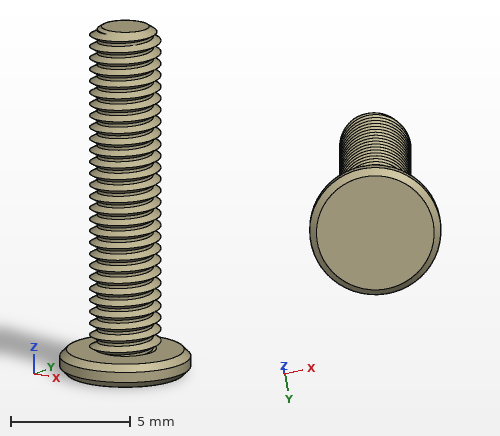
import cadquery as cq
import math

total_height = 15.0
head_diameter = 5.5
head_height = 1.0
head_chamfer = 0.28
thread_diameter = 3.0
root_diameter = 2.35
thread_turns = 28
flank_half_angle = 30.0
crest_height = 0.33
tip_radius = 1.0
tip_height = 0.33
overrun_turns = 2
clearance = 0.05

shank_length = total_height - head_height
pitch = shank_length / thread_turns
crest_radius = thread_diameter / 2
root_radius = root_diameter / 2


def make_head():
    """Disc head, chamfered on both rims."""
    disc = cq.Workplane("XY").circle(head_diameter / 2).extrude(head_height)
    return disc.faces("<Z or >Z").edges().chamfer(head_chamfer)


def make_shank_blank(radius):
    """Plain cylinder standing on the head."""
    return cq.Workplane("XY").workplane(offset=head_height).circle(radius).extrude(shank_length)


def make_ridge():
    """Right-handed helical V ridge that overruns both ends of the shank."""
    inner_radius = root_radius - clearance
    half_base = (crest_radius - inner_radius) * math.tan(math.radians(flank_half_angle))
    start_z = head_height + crest_height - overrun_turns * pitch
    ridge_length = shank_length + 2 * overrun_turns * pitch
    helix = cq.Wire.makeHelix(pitch, ridge_length, inner_radius, center=cq.Vector(0, 0, start_z))
    profile = cq.Workplane("XZ").polyline([
        (inner_radius, start_z - half_base),
        (crest_radius, start_z),
        (inner_radius, start_z + half_base),
    ]).close()
    return profile.sweep(cq.Workplane(obj=helix), isFrenet=True)


def make_shank():
    """Threaded shank, trimmed to its length and to the tip cone."""
    radius_per_height = (crest_radius - tip_radius) / tip_height
    envelope_radius = crest_radius + clearance
    cone_width = envelope_radius - tip_radius
    envelope = make_shank_blank(envelope_radius)
    envelope = envelope.faces(">Z").chamfer(cone_width / radius_per_height, cone_width)
    core = make_shank_blank(root_radius).intersect(envelope)
    thread = make_ridge().intersect(envelope)
    return core.union(thread)


result = make_head().union(make_shank())